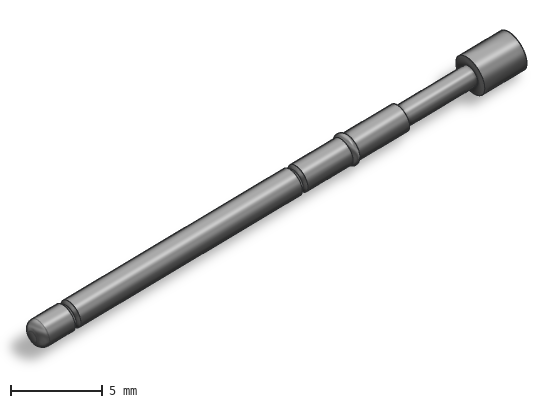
import cadquery as cq

length = 34.0
head_diameter = 2.5
head_length = 3.0
neck_diameter = 1.33
neck_length = 5.0
barrel_diameter = 1.75
tip_fillet = 0.5

ring_distance = 11.75
ring_width = 0.48
ring_height = 0.15
groove_distances = (15.4, 31.5)
groove_width = 0.4
groove_depth = 0.17

head_end = length / 2
barrel_radius = barrel_diameter / 2
barrel_length = length - head_length - neck_length


def cylinder(diameter, start_distance, span):
    """Cylinder on the Y axis running from start_distance towards the tip."""
    return (
        cq.Workplane("XZ", origin=(0, head_end - start_distance, 0))
        .circle(diameter / 2)
        .extrude(span)
    )


def revolve_about_y(profile):
    return profile.close().revolve(360, (0, 0, 0), (0, 1, 0))


def retaining_ring():
    """Rounded bead that stands proud of the barrel."""
    middle = head_end - ring_distance
    half_width = ring_width / 2
    profile = (
        cq.Workplane("XY")
        .moveTo(0, middle - half_width)
        .lineTo(barrel_radius, middle - half_width)
        .threePointArc(
            (barrel_radius + ring_height, middle),
            (barrel_radius, middle + half_width),
        )
        .lineTo(0, middle + half_width)
    )
    return revolve_about_y(profile)


def v_groove(distance):
    """Triangular cutter for a V groove around the barrel."""
    middle = head_end - distance
    half_width = groove_width / 2
    profile = (
        cq.Workplane("XY")
        .moveTo(barrel_radius, middle - half_width)
        .lineTo(barrel_radius - groove_depth, middle)
        .lineTo(barrel_radius, middle + half_width)
        .lineTo(barrel_radius + groove_depth, middle + half_width)
        .lineTo(barrel_radius + groove_depth, middle - half_width)
    )
    return revolve_about_y(profile)


barrel = cylinder(barrel_diameter, head_length + neck_length, barrel_length)
barrel = barrel.faces("<Y").edges().fillet(tip_fillet)
for groove_distance in groove_distances:
    barrel = barrel.cut(v_groove(groove_distance))

head = cylinder(head_diameter, 0, head_length)
neck = cylinder(neck_diameter, head_length, neck_length)

result = barrel.union(retaining_ring()).union(neck).union(head)